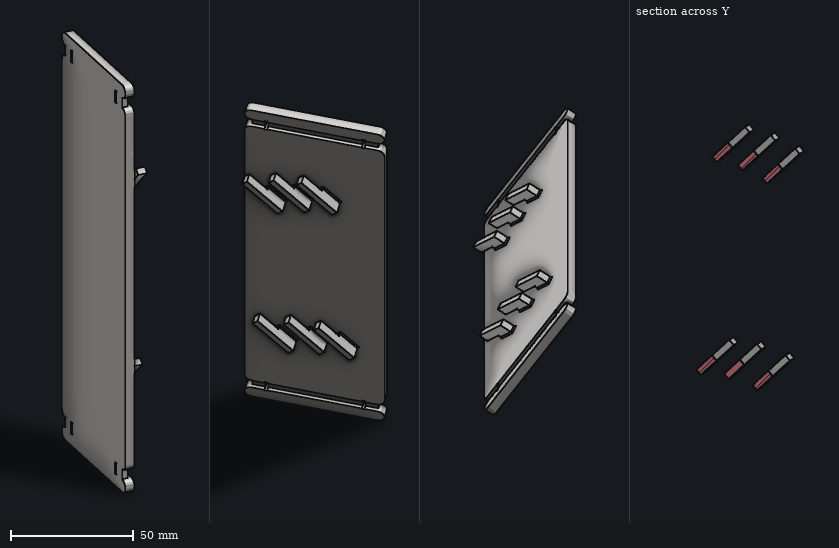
import cadquery as cq
import math

LENGTH = 186.0
WIDTH = 59.0
DEPTH = 10.2
PLATE_THICKNESS = 4.3

EAR_RADIUS = 3.0
NOTCH_HEIGHT = 4.5

GROOVE_DEPTH = 1.7
SLOT_WIDTH = 1.1
SLOT_HEIGHT = 5.2
SLOT_OFFSET = 20.5

HOOK_ANGLE = 45.0
HOOK_LENGTH = 21.2
HOOK_WIDTH = 3.0
HOOK_OVERHANG = 11.0
HOOK_GAP = 1.9

FOOT_FLARE = 0.4
FOOT_HEIGHT = 0.7

UPPER_HOOKS = [(-11.0, 44.6), (0.7, 42.8), (11.9, 38.7)]
LOWER_HOOKS = [(-18.2, -47.6), (-5.5, -47.6), (7.5, -50.5)]

HALF_LENGTH = LENGTH / 2
HALF_WIDTH = WIDTH / 2
NOTCH_X = HALF_WIDTH - EAR_RADIUS
NOTCH_TOP = HALF_LENGTH - 2 * EAR_RADIUS
NOTCH_BOTTOM = NOTCH_TOP - NOTCH_HEIGHT
NOTCH_MIDDLE = (NOTCH_TOP + NOTCH_BOTTOM) / 2
SHOULDER_Z = NOTCH_BOTTOM - EAR_RADIUS
EAR_Z = HALF_LENGTH - EAR_RADIUS


def make_blank():
    """Plate with ears and notches: the right half of the outline, mirrored to the left."""
    diagonal = EAR_RADIUS * math.sqrt(0.5)
    return (
        cq.Workplane("XZ")
        .moveTo(0, HALF_LENGTH)
        .lineTo(NOTCH_X, HALF_LENGTH)
        .threePointArc((HALF_WIDTH, EAR_Z), (NOTCH_X, NOTCH_TOP))
        .lineTo(NOTCH_X, NOTCH_BOTTOM)
        .threePointArc((NOTCH_X + diagonal, SHOULDER_Z + diagonal), (HALF_WIDTH, SHOULDER_Z))
        .lineTo(HALF_WIDTH, -SHOULDER_Z)
        .threePointArc((NOTCH_X + diagonal, -SHOULDER_Z - diagonal), (NOTCH_X, -NOTCH_BOTTOM))
        .lineTo(NOTCH_X, -NOTCH_TOP)
        .threePointArc((HALF_WIDTH, -EAR_Z), (NOTCH_X, -HALF_LENGTH))
        .lineTo(0, -HALF_LENGTH)
        .mirrorY()
        .extrude(-PLATE_THICKNESS)
    )


def cut_strap_passage(plate, z):
    """Groove across the back of the plate and its two through slots, centred at height z."""
    groove = cq.Workplane("XY").box(WIDTH, 2 * GROOVE_DEPTH, NOTCH_HEIGHT)
    plate = plate.cut(groove.translate((0, PLATE_THICKNESS, z)))
    slot = cq.Workplane("XY").box(SLOT_WIDTH, 2 * PLATE_THICKNESS, SLOT_HEIGHT)
    for x in (-SLOT_OFFSET, SLOT_OFFSET):
        plate = plate.cut(slot.translate((x, PLATE_THICKNESS / 2, z)))
    return plate


def hook_block(length, start_y, height, margin=0.0, taper=0.0):
    """Bar along +X below Z = 0, rising toward +Y from start_y, its base grown by the margin."""
    return (
        cq.Workplane("XZ", origin=(length / 2, start_y, -HOOK_WIDTH / 2))
        .rect(length + 2 * margin, HOOK_WIDTH + 2 * margin)
        .extrude(-height, taper=taper)
    )


def make_hook():
    """One sloping hook with its leftmost corner at X = 0, Z = 0."""
    stem_length = HOOK_LENGTH - HOOK_OVERHANG
    arm_y = PLATE_THICKNESS + HOOK_GAP
    foot_taper = math.degrees(math.atan2(FOOT_FLARE, FOOT_HEIGHT))
    foot = hook_block(stem_length, PLATE_THICKNESS, FOOT_HEIGHT, FOOT_FLARE, foot_taper)
    stem = hook_block(stem_length, PLATE_THICKNESS, HOOK_GAP)
    arm = hook_block(HOOK_LENGTH, arm_y, DEPTH - arm_y)
    return foot.union(stem).union(arm).rotate((0, 0, 0), (0, 1, 0), -HOOK_ANGLE)


result = make_blank()
for passage_z in (NOTCH_MIDDLE, -NOTCH_MIDDLE):
    result = cut_strap_passage(result, passage_z)

hook = make_hook()
for hook_x, hook_z in UPPER_HOOKS + LOWER_HOOKS:
    result = result.union(hook.translate((hook_x, 0, hook_z)))